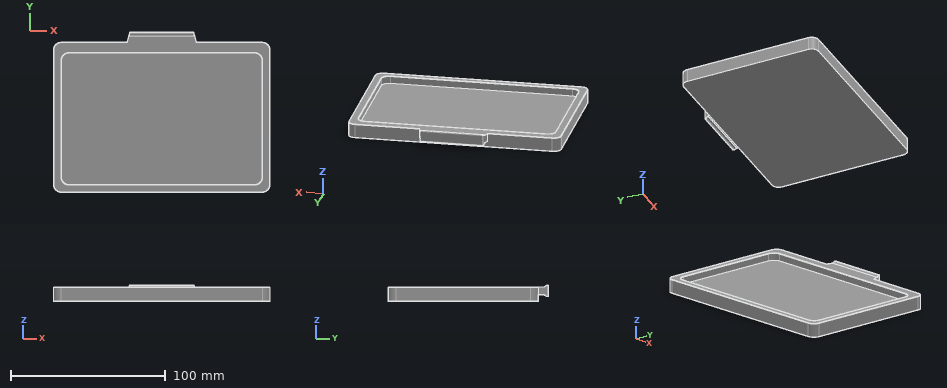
import cadquery as cq

body_width = 140.0
body_depth = 97.0
body_height = 9.3
body_corner_radius = 5.0
rim_chamfer = 0.25

side_wall = 5.1
front_wall = 5.0
back_wall = 7.0
pocket_depth = 5.0
pocket_corner_radius = 5.0
pocket_mouth_chamfer = 0.3

overall_depth = 103.49
overall_height = 10.36
tab_base_width = 45.0
tab_tip_width = 41.2
tip_fillet = 0.35
lip_crest_fillet = 0.7
lip_rise = overall_height - body_height
lip_bottom = 3.0
lip_thickness = 1.15
lip_slope_run = 1.45
web_top = body_height
web_bottom = lip_bottom + lip_rise


def make_body():
    """Rounded tray with a chamfered rim and pocket mouth."""
    body = (
        cq.Workplane("XY")
        .box(body_width, body_depth, body_height, centered=(True, False, False))
        .edges("|Z")
        .fillet(body_corner_radius)
    )
    body = body.faces(">Z").edges().chamfer(rim_chamfer)
    body = body.cut(make_pocket())
    mouth = body.faces(">Z").val().innerWires()[0]
    return body.newObject(mouth.Edges()).chamfer(pocket_mouth_chamfer)


def make_pocket():
    """Rounded block that is removed from the top of the tray."""
    pocket_width = body_width - 2 * side_wall
    pocket_length = body_depth - front_wall - back_wall
    pocket = (
        cq.Workplane("XY")
        .box(pocket_width, pocket_length, pocket_depth, centered=(True, False, False))
        .edges("|Z")
        .fillet(pocket_corner_radius)
    )
    return pocket.translate((0, front_wall, body_height - pocket_depth))


def make_tab():
    """Lipped tab: intersection of the lipped side profile and the tapered plan outline."""
    half_base = tab_base_width / 2
    root = body_depth - back_wall / 2
    lip_front = overall_depth - lip_thickness
    web_end = lip_front - lip_slope_run
    profile = (
        cq.Workplane("YZ")
        .polyline(
            [
                (root, web_bottom),
                (web_end, web_bottom),
                (lip_front, lip_bottom),
                (overall_depth, lip_bottom),
                (overall_depth, overall_height),
                (lip_front, overall_height),
                (web_end, web_top),
                (root, web_top),
            ]
        )
        .close()
        .extrude(half_base, both=True)
    )
    profile = (
        profile.faces(">Z or <Z")
        .edges("<Y")
        .fillet(lip_crest_fillet)
    )
    half_tip = tab_tip_width / 2
    outline = (
        cq.Workplane("XY")
        .polyline(
            [
                (-half_base, root),
                (half_base, root),
                (half_base, body_depth),
                (half_tip, overall_depth),
                (-half_tip, overall_depth),
                (-half_base, body_depth),
            ]
        )
        .close()
        .extrude(overall_height)
    )
    tab = profile.intersect(outline)
    return tab.faces(">Y").edges().fillet(tip_fillet)


result = make_body().union(make_tab())